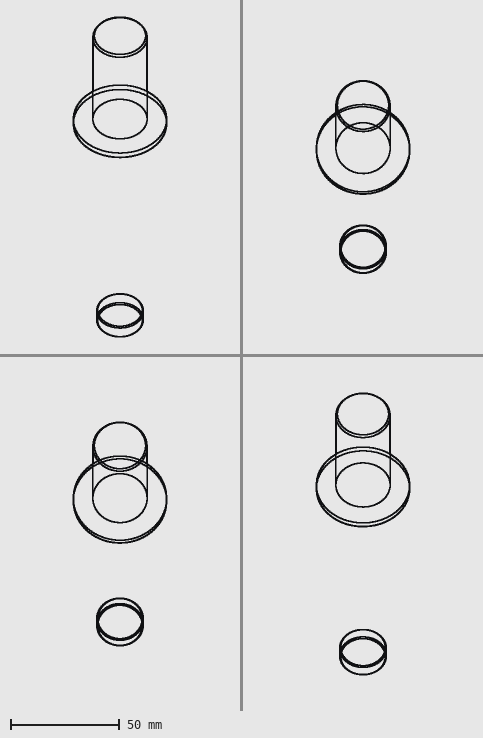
import cadquery as cq

overall_height = 191.5

flange_diameter = 43.0
flange_thickness = 3.0
pin_diameter = 25.0
pin_height = 59.0
pin_chamfer_height = 1.2
pin_chamfer_width = 0.7

disc_diameter = 21.5
disc_thickness = 7.2
disc_chamfer_height = 0.7
disc_chamfer_width = 0.5
disc_bottom = pin_height - overall_height


def revolve_about_z(profile):
    """Solid of revolution about Z from (radius, height) points of a half section."""
    axis_start = (0, 0)
    axis_end = (0, 1)
    return cq.Workplane("XZ").polyline(profile).close().revolve(360, axis_start, axis_end)


def make_flanged_pin():
    """Round pin with a steeply chamfered tip, standing on a thin round flange."""
    pin_radius = pin_diameter / 2
    flange_radius = flange_diameter / 2
    return revolve_about_z([
        (0, 0),
        (flange_radius, 0),
        (flange_radius, flange_thickness),
        (pin_radius, flange_thickness),
        (pin_radius, pin_height - pin_chamfer_height),
        (pin_radius - pin_chamfer_width, pin_height),
        (0, pin_height),
    ])


def make_disc():
    """Short round disc with both rims chamfered."""
    disc_radius = disc_diameter / 2
    face_radius = disc_radius - disc_chamfer_width
    disc_top = disc_bottom + disc_thickness
    return revolve_about_z([
        (0, disc_bottom),
        (face_radius, disc_bottom),
        (disc_radius, disc_bottom + disc_chamfer_height),
        (disc_radius, disc_top - disc_chamfer_height),
        (face_radius, disc_top),
        (0, disc_top),
    ])


flanged_pin = make_flanged_pin()
disc = make_disc()

result = cq.Compound.makeCompound([flanged_pin.val(), disc.val()])